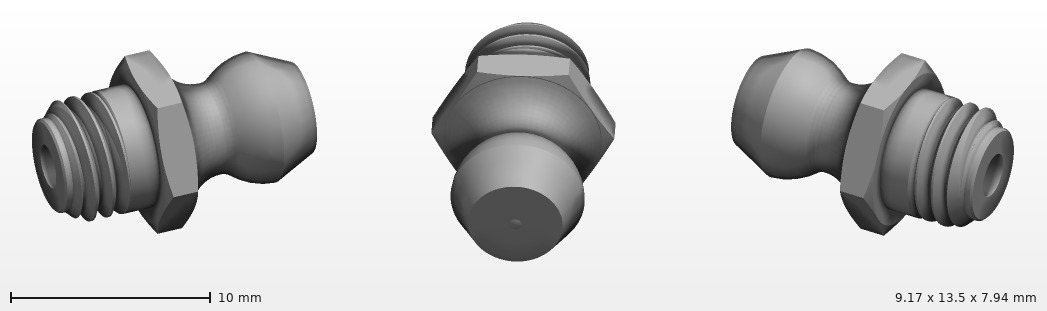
import cadquery as cq
import math


ball_tip_y = 6.76
head_face_y = 6.72
head_edge_y = 4.59
head_sphere_y = 4.7
hex_head_y = -0.26
hex_shank_y = -2.02
shank_end_y = -3.56
pilot_start_y = -6.35
pilot_end_y = -6.76

head_face_radius = 2.37
head_sphere_radius = 3.37
neck_radius = 2.34
neck_fillet = 0.87
neck_land = 0.04
flare_end_radius = 3.92

across_flats = 7.94
hex_chamfer_angle = 20.0

shank_radius = 3.17
root_radius = 2.57
pilot_radius = 2.42
pilot_chamfer = 0.11
thread_pitch = 0.9
thread_radius = 3.15
thread_crest_width = 0.11
thread_half_angle = 30.0
thread_start_y = -2.65
thread_turns = 5
thread_root_overlap = 0.07

ball_radius = 1.12
ball_center_y = ball_tip_y - ball_radius


def revolve_about_y(outline):
    return outline.close().revolve(360, (0, 0, 0), (0, 1, 0))


def make_ball():
    return cq.Workplane("XY").sphere(ball_radius).translate((0, ball_center_y, 0))


def make_head():
    """Conical nose, spherical bulge, neck and flare, ending inside the hexagon."""
    fillet_center_x = neck_radius + neck_fillet
    center_distance = head_sphere_radius + neck_fillet
    sphere_drop = math.sqrt(center_distance**2 - fillet_center_x**2)
    neck_top_y = head_sphere_y - sphere_drop
    neck_bottom_y = neck_top_y - neck_land
    sphere_share = head_sphere_radius / center_distance
    blend_x = fillet_center_x * sphere_share
    blend_y = head_sphere_y - sphere_drop * sphere_share
    edge_radius = math.sqrt(head_sphere_radius**2 - (head_edge_y - head_sphere_y) ** 2)
    sphere_mid_y = (head_edge_y + blend_y) / 2
    sphere_mid_x = math.sqrt(head_sphere_radius**2 - (sphere_mid_y - head_sphere_y) ** 2)
    outline = (
        cq.Workplane("XY")
        .moveTo(0, head_face_y)
        .lineTo(head_face_radius, head_face_y)
        .lineTo(edge_radius, head_edge_y)
        .threePointArc((sphere_mid_x, sphere_mid_y), (blend_x, blend_y))
        .tangentArcPoint((neck_radius, neck_top_y), relative=False)
        .lineTo(neck_radius, neck_bottom_y)
        .tangentArcPoint((flare_end_radius, hex_head_y), relative=False)
        .lineTo(flare_end_radius, (hex_head_y + hex_shank_y) / 2)
        .lineTo(0, (hex_head_y + hex_shank_y) / 2)
    )
    return revolve_about_y(outline)


def make_hexagon():
    """Hexagon with its corners turned off conically at both faces."""
    inscribed_radius = across_flats / 2
    corner_radius = inscribed_radius / math.cos(math.radians(30))
    chamfer_height = (corner_radius - inscribed_radius) * math.tan(math.radians(hex_chamfer_angle))
    prism = (
        cq.Workplane("XZ", origin=(0, hex_head_y, 0))
        .polygon(6, 2 * corner_radius)
        .extrude(hex_head_y - hex_shank_y)
    )
    envelope = (
        cq.Workplane("XY")
        .moveTo(0, hex_head_y)
        .lineTo(inscribed_radius, hex_head_y)
        .lineTo(corner_radius, hex_head_y - chamfer_height)
        .lineTo(corner_radius, hex_shank_y + chamfer_height)
        .lineTo(inscribed_radius, hex_shank_y)
        .lineTo(0, hex_shank_y)
    )
    return prism.intersect(revolve_about_y(envelope))


def make_shank():
    """Plain shank, thread core and chamfered pilot; both thread ends slope at 45 degrees."""
    outline = (
        cq.Workplane("XY")
        .moveTo(0, hex_shank_y)
        .lineTo(shank_radius, hex_shank_y)
        .lineTo(shank_radius, shank_end_y)
        .lineTo(root_radius, shank_end_y - (shank_radius - root_radius))
        .lineTo(root_radius, pilot_start_y + root_radius - pilot_radius)
        .lineTo(pilot_radius, pilot_start_y)
        .lineTo(pilot_radius, pilot_end_y + pilot_chamfer)
        .lineTo(pilot_radius - pilot_chamfer, pilot_end_y)
        .lineTo(0, pilot_end_y)
    )
    return revolve_about_y(outline)


def make_thread():
    """Right-handed thread ridge, cut off by a 45 degree cone at the pilot."""
    base_radius = root_radius - thread_root_overlap
    crest_half = thread_crest_width / 2
    base_half = crest_half + (thread_radius - base_radius) * math.tan(math.radians(thread_half_angle))
    helix = cq.Wire.makeHelix(thread_pitch, thread_turns * thread_pitch, base_radius)
    ridge = (
        cq.Workplane("XZ")
        .polyline([
            (base_radius, -base_half),
            (thread_radius, -crest_half),
            (thread_radius, crest_half),
            (base_radius, base_half),
        ])
        .close()
        .sweep(cq.Workplane(obj=helix), isFrenet=True)
        .rotate((0, 0, 0), (1, 0, 0), 90)
        .translate((0, thread_start_y, 0))
    )
    envelope = (
        cq.Workplane("XY")
        .moveTo(0, hex_shank_y)
        .lineTo(shank_radius, hex_shank_y)
        .lineTo(shank_radius, pilot_start_y + shank_radius - pilot_radius)
        .lineTo(pilot_radius, pilot_start_y)
        .lineTo(0, pilot_start_y)
    )
    return ridge.intersect(revolve_about_y(envelope))


def make_bore():
    """Bore from the threaded end up to the middle of the ball."""
    return (
        cq.Workplane("XZ", origin=(0, ball_center_y, 0))
        .circle(ball_radius)
        .extrude(ball_center_y - pilot_end_y)
    )


def make_fitting():
    """Fitting with a bore that ends in a spherical seat, open at the head face."""
    solid = make_head().union(make_hexagon())
    solid = solid.union(make_shank().union(make_thread()))
    return solid.cut(make_bore()).cut(make_ball())


fitting = make_fitting()
ball = make_ball()

result = cq.Compound.makeCompound([fitting.solids().val(), ball.val()])